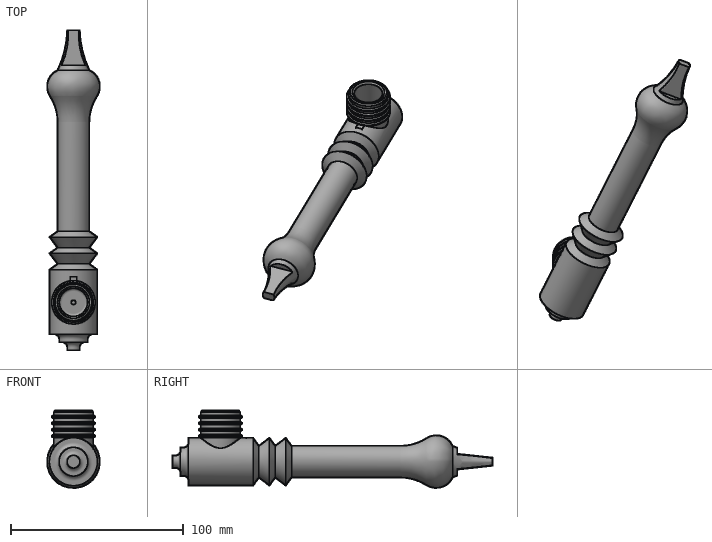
import cadquery as cq
import math


barrel_radius = 14.0
barrel_front = -18.5

cap_step_lengths = [4.6, 4.6]
cap_step_radii = [8.4, 3.7]
cap_fillet = 2.8

stem_radius = 9.3
stem_front = 41.2
bead_count = 2
bead_pitch = 9.5
bead_back_slope = 3.3
barrel_back = stem_front - bead_count * bead_pitch - bead_back_slope

bulb_front = 104.5
bulb_middle = 119.5
bulb_back = 134.5
bulb_middle_radius = 13.7

bit_flat_start = 137.3
bit_end = 157.7
bit_end_radius = 3.7
bit_bow = 1.3
bit_half_thickness_start = 4.6
bit_half_thickness_end = 2.5
bit_edge_fillet = 1.0

bowl_radius = 11.5
bowl_top = 29.7
bowl_bottom = 0.0
bowl_rim_chamfer = 1.0
bore_radius = 8.2
bore_floor = 3.7
bore_floor_fillet = 1.7
bore_chamfer = 1.1

ring_count = 4
ring_pitch = 3.7
ring_top = 26.0
ring_radius = 12.6
ring_crest_width = 0.5
ring_root_width = 1.9

draught_radius = 1.3
draught_depth = 1.9
draught_tip = 0.4

key_width = 3.9
key_reach = 14.8
key_height = 2.8


def arc_middle(start, end, center):
    """Point halfway along the short arc from start to end about center."""
    radius = math.dist(start, center)
    across = (start[0] + end[0]) / 2 - center[0]
    along = (start[1] + end[1]) / 2 - center[1]
    scale = radius / math.hypot(across, along)
    return (center[0] + across * scale, center[1] + along * scale)


def add_end_cap(profile):
    """Draw the cap from its tip to the barrel, each step ending in a concave fillet."""
    steps = list(zip(cap_step_radii, cap_step_lengths))
    tip = barrel_front - sum(cap_step_lengths)
    profile = profile.moveTo(0, tip)
    position = tip
    for radius, length in reversed(steps):
        position += length
        fillet_start = (radius, position - cap_fillet)
        fillet_end = (radius + cap_fillet, position)
        center = (radius + cap_fillet, position - cap_fillet)
        profile = profile.lineTo(radius, position - length).lineTo(*fillet_start)
        profile = profile.threePointArc(arc_middle(fillet_start, fillet_end, center), fillet_end)
    return profile


def add_barrel_and_beads(profile):
    """Draw the barrel, its sloped rear end and the beads up to the stem."""
    profile = profile.lineTo(barrel_radius, barrel_front).lineTo(barrel_radius, barrel_back)
    profile = profile.lineTo(stem_radius, barrel_back + bead_back_slope)
    for bead in range(1, bead_count + 1):
        crest = barrel_back + bead * bead_pitch
        profile = profile.lineTo(barrel_radius, crest)
        profile = profile.lineTo(stem_radius, crest + bead_back_slope)
    return profile


def add_bulb(profile):
    """Draw the concave arc that leaves the stem and the tangent round arc of the bulb."""
    rise = bulb_middle_radius - stem_radius
    run = bulb_middle - bulb_front
    flare_radius = (run**2 + rise**2) / (2 * rise)
    flare_center = (stem_radius + flare_radius, bulb_front)
    flare_start = (stem_radius, bulb_front)
    flare_end = (bulb_middle_radius, bulb_middle)
    profile = profile.lineTo(*flare_start)
    profile = profile.threePointArc(arc_middle(flare_start, flare_end, flare_center), flare_end)
    return profile.tangentArcPoint((stem_radius, bulb_back), relative=False)


def add_bit(profile):
    """Draw the concave taper of the mouthpiece and close the profile on the axis."""
    middle = ((stem_radius + bit_end_radius) / 2 - bit_bow, (bulb_back + bit_end) / 2)
    profile = profile.threePointArc(middle, (bit_end_radius, bit_end))
    return profile.lineTo(0, bit_end).close()


def flat_cutter():
    """Block above the mouthpiece whose sloped underside makes the top flat."""
    return (
        cq.Workplane("YZ")
        .moveTo(bit_flat_start, bit_half_thickness_start)
        .lineTo(bit_end, bit_half_thickness_end)
        .lineTo(bit_end, barrel_radius)
        .lineTo(bit_flat_start, barrel_radius)
        .close()
        .extrude(barrel_radius, both=True)
    )


def bit_long_edges():
    """Selector for the edges along the flats, by their middles halfway down the mouthpiece."""
    quarter = (bit_end - bit_flat_start) / 4
    near_corner = (-stem_radius, bit_flat_start + quarter, -stem_radius)
    far_corner = (stem_radius, bit_end - quarter, stem_radius)
    return cq.selectors.BoxSelector(near_corner, far_corner)


def bowl_seat():
    """Outer shape of the bowl and its key without the thread, shared with the recess."""
    body = (
        cq.Workplane("XY", origin=(0, 0, bowl_bottom))
        .circle(bowl_radius)
        .extrude(bowl_top - bowl_bottom)
    )
    key = (
        cq.Workplane("XY", origin=(0, 0, barrel_radius - key_height))
        .box(key_width, key_reach, key_height, centered=(True, False, False))
    )
    return body.union(key)


def make_pipe():
    profile = add_end_cap(cq.Workplane("XY"))
    profile = add_barrel_and_beads(profile)
    profile = add_bulb(profile)
    pipe = add_bit(profile).revolve(360, (0, 0, 0), (0, 1, 0))
    top_cutter = flat_cutter()
    pipe = pipe.cut(top_cutter).cut(top_cutter.mirror("XY"))
    pipe = pipe.edges(bit_long_edges()).fillet(bit_edge_fillet)
    return pipe.cut(bowl_seat())


def thread_ring(height):
    """One ring of the thread, with a flat crest and sloped flanks."""
    half_crest = ring_crest_width / 2
    half_root = ring_root_width / 2
    inside = (bore_radius + bowl_radius) / 2
    return (
        cq.Workplane("XZ")
        .moveTo(inside, height - half_root)
        .lineTo(bowl_radius, height - half_root)
        .lineTo(ring_radius, height - half_crest)
        .lineTo(ring_radius, height + half_crest)
        .lineTo(bowl_radius, height + half_root)
        .lineTo(inside, height + half_root)
        .close()
        .revolve(360, (0, 0, 0), (0, 1, 0))
    )


def make_bowl():
    bowl = bowl_seat().faces(">Z").edges().chamfer(bowl_rim_chamfer)
    for ring in range(ring_count):
        bowl = bowl.union(thread_ring(ring_top - ring * ring_pitch))
    bore = (
        cq.Workplane("XY", origin=(0, 0, bore_floor))
        .circle(bore_radius)
        .extrude(bowl_top - bore_floor)
        .faces("<Z")
        .edges()
        .fillet(bore_floor_fillet)
    )
    bowl = bowl.cut(bore)
    bore_rim = cq.selectors.RadiusNthSelector(0)
    bowl = bowl.faces(">Z").edges(bore_rim).chamfer(bore_chamfer)
    draught = (
        cq.Workplane("XZ")
        .moveTo(0, bore_floor)
        .lineTo(draught_radius, bore_floor)
        .lineTo(draught_radius, bore_floor - draught_depth)
        .lineTo(0, bore_floor - draught_depth - draught_tip)
        .close()
        .revolve(360, (0, 0, 0), (0, 1, 0))
    )
    return bowl.cut(draught)


pipe = make_pipe()
bowl = make_bowl()
result = cq.Compound.makeCompound([pipe.val(), bowl.val()])